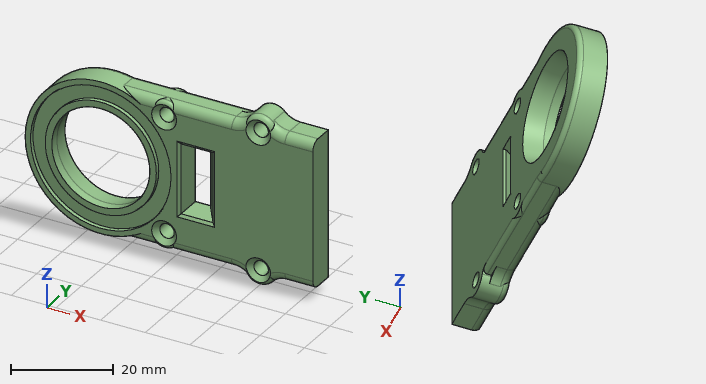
import cadquery as cq
import math

length = 64.5
thickness = 6.1
ring_radius = 16.95
plate_half_width = 16.45
plate_end = length - ring_radius
front_round = 2.0
rear_round = 1.0

bore_radius = 10.95
bore_rear_radius = 11.5
bore_straight_depth = 2.0
groove_inner_radius = 12.45
groove_outer_radius = 15.75
groove_depth = 0.95

window_start = 17.75
window_front_end = 24.9
window_rear_end = 21.5
window_half_height = 7.8
window_bevel = 0.65
window_bevel_depth = 0.45
window_rear_lip = 0.65

screw_radius = 1.6
countersink_radius = 2.8
boss_radius = 3.5
near_screw = (14.2, 12.95)
far_screw = (35.3, 15.4)
near_boss_round = 0.95
far_boss_round = 1.4

flank_radius = 5.0
rear_flank_radius = 2.0
rear_flank_depth = 1.9


def prism(sketch, front, back):
    """Extrude an XZ sketch from Y = front to Y = back."""
    return sketch.extrude(front - back).translate((0, front, 0))


def cylinder(centre, radius, front, back):
    return prism(cq.Workplane("XZ").center(*centre).circle(radius), front, back)


def box(x_start, x_end, half_height, front, back):
    sketch = cq.Workplane("XZ").center((x_start + x_end) / 2, 0).rect(x_end - x_start, 2 * half_height)
    return prism(sketch, front, back)


def both_sides(centre):
    """The two mirrored places of a feature, above and below the XY plane."""
    return [(centre[0], side * centre[1]) for side in (1, -1)]


def flank_points(radius, base_height):
    """Base, middle and boss ends of a flank arc, as (distance from boss axis, Z).

    The arc is tangent to the line Z = base_height and to the far boss.
    """
    rise = base_height + radius - far_screw[1]
    reach = math.sqrt((boss_radius + radius) ** 2 - rise ** 2)
    boss_angle = math.atan2(-rise, -reach)
    middle_angle = (boss_angle - math.pi / 2) / 2
    arc = [
        (reach + radius * math.cos(angle), base_height + radius + radius * math.sin(angle))
        for angle in (middle_angle, boss_angle)
    ]
    return [(reach, base_height)] + arc


def make_boss(centre, rim_round):
    return cylinder(centre, boss_radius, 0, thickness).edges("<Y").fillet(rim_round)


def make_neck():
    """Ring and the plate up to the far screws, with the rear outline rounded."""
    plate = box(0, far_screw[0], plate_half_width, 0, thickness)
    plate = plate.edges("|X and <Y").fillet(front_round)
    neck = plate.union(cylinder((0, 0), ring_radius, 0, thickness))
    return neck.faces(">Y").edges("not(|Z)").fillet(rear_round)


def make_tail():
    """Free end of the plate, widened by the far bosses and their flanks."""
    boss_x, boss_z = far_screw
    base, middle, top = flank_points(flank_radius, plate_half_width)
    crest = (boss_x, boss_z + boss_radius)
    half = (
        cq.Workplane("XZ")
        .moveTo(boss_x - base[0], 0)
        .lineTo(boss_x - base[0], base[1])
        .threePointArc((boss_x - middle[0], middle[1]), (boss_x - top[0], top[1]))
        .threePointArc(crest, (boss_x + top[0], top[1]))
        .threePointArc((boss_x + middle[0], middle[1]), (boss_x + base[0], base[1]))
        .lineTo(plate_end, plate_half_width)
        .lineTo(plate_end, 0)
        .close()
    )
    half = prism(half, 0, thickness)
    front_edges = half.faces("<Y").edges("not(|Z)").edges("not(<Z)")
    half = front_edges.fillet(front_round)
    tail = half.union(half.mirror("XY"))
    return tail.cut(box(0, boss_x, length, thickness - rear_flank_depth, thickness))


def make_rear_flank():
    """Tighter flank between the rounded rear edge and the upper far boss."""
    boss_x, boss_z = far_screw
    base, middle, top = flank_points(rear_flank_radius, plate_half_width - rear_round)
    sketch = (
        cq.Workplane("XZ")
        .moveTo(boss_x - base[0], base[1])
        .threePointArc((boss_x - middle[0], middle[1]), (boss_x - top[0], top[1]))
        .lineTo(boss_x, boss_z)
        .lineTo(boss_x - top[0], base[1] - rear_round)
        .close()
    )
    return prism(sketch, thickness - rear_flank_depth, thickness)


def make_screw_hole(centre):
    """Through hole with a 90 degree countersink in the front face."""
    return (
        cq.Workplane("XY")
        .polyline([
            (0, 0),
            (countersink_radius, 0),
            (screw_radius, countersink_radius - screw_radius),
            (screw_radius, thickness),
            (0, thickness),
        ])
        .close()
        .revolve(360, (0, 0, 0), (0, 1, 0))
        .translate((centre[0], 0, centre[1]))
    )


def make_groove():
    groove = cylinder((0, 0), groove_outer_radius, 0, groove_depth)
    return groove.cut(cylinder((0, 0), groove_inner_radius, 0, groove_depth))


def make_bore():
    """Ring bore: straight behind the front face, then widening to the rear."""
    return (
        cq.Workplane("XY")
        .polyline([
            (0, 0),
            (bore_radius, 0),
            (bore_radius, bore_straight_depth),
            (bore_rear_radius, thickness),
            (0, thickness),
        ])
        .close()
        .revolve(360, (0, 0, 0), (0, 1, 0))
    )


def make_window():
    """Rectangular slot; the far end wall slants in from the bevel to a straight rear lip."""
    slot = (
        cq.Workplane("XY")
        .polyline([
            (window_start, 0),
            (window_front_end, 0),
            (window_front_end, window_bevel_depth),
            (window_rear_end, thickness - window_rear_lip),
            (window_rear_end, thickness),
            (window_start, thickness),
        ])
        .close()
        .extrude(window_half_height, both=True)
    )
    rim_length = window_front_end - window_start + 2 * window_bevel
    rim_height = 2 * (window_half_height + window_bevel)
    bevel_taper = math.degrees(math.atan2(window_bevel, window_bevel_depth))
    bevel = (
        cq.Workplane("XZ")
        .center((window_start + window_front_end) / 2, 0)
        .rect(rim_length, rim_height)
        .extrude(-window_bevel_depth, taper=bevel_taper)
    )
    return slot.union(bevel)


result = make_neck().union(make_tail())

rear_flank = make_rear_flank()
result = result.union(rear_flank).union(rear_flank.mirror("XY"))

for screw, rim_round in ((near_screw, near_boss_round), (far_screw, far_boss_round)):
    for place in both_sides(screw):
        result = result.union(make_boss(place, rim_round))

for place in both_sides(near_screw) + both_sides(far_screw):
    result = result.cut(make_screw_hole(place))

result = result.cut(make_groove()).cut(make_bore()).cut(make_window())